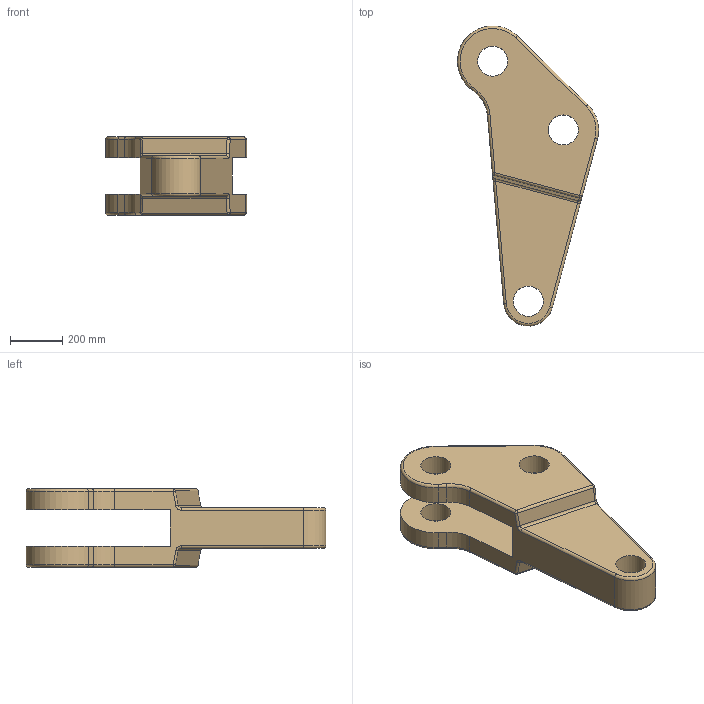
import cadquery as cq
import math

total_height = 300.0
tongue_height = 156.0
slot_height = 141.0

pin_diameter = 115.0
tongue_pin = (0.0, 0.0)
corner_pin = (134.03, 656.0)
arm_pin = (-137.0, 919.54)

tongue_end_radius = 95.0
cheek_end_radius = 135.0

neck_slope = 40.0
neck_radius = 120.0
left_side_tilt = 4.95

step_distance = 433.5

slot_end_distance = 464.0

step_draft = 10.0
edge_radius = 10.0

reach = 2000.0


def polar(center, radius, degrees):
    """Point on a circle at the given angle from +X."""
    angle = math.radians(degrees)
    return (center[0] + radius * math.cos(angle), center[1] + radius * math.sin(angle))


def direction_of(start, end):
    """Angle in degrees of the line from start to end."""
    return math.degrees(math.atan2(end[1] - start[1], end[0] - start[0]))


def line_crossing(point_a, degrees_a, point_b, degrees_b):
    """Point where two lines, each given by a point and an angle, cross."""
    gap_x = point_b[0] - point_a[0]
    gap_y = point_b[1] - point_a[1]
    angle_a = math.radians(degrees_a)
    angle_b = math.radians(degrees_b)
    along_a = (gap_x * math.sin(angle_b) - gap_y * math.cos(angle_b)) / math.sin(angle_b - angle_a)
    return polar(point_a, along_a, degrees_a)


pin_spacing = math.dist(tongue_pin, corner_pin)
end_taper = math.degrees(math.asin((cheek_end_radius - tongue_end_radius) / pin_spacing))
corner_pin_direction = direction_of(tongue_pin, corner_pin)
right_side_direction = corner_pin_direction - end_taper
right_normal = right_side_direction - 90.0


def outline():
    """Closed plan outline, counterclockwise from the tongue end."""
    upper_normal = direction_of(corner_pin, arm_pin) - 90.0
    neck_normal = 270.0 - neck_slope
    left_normal = 180.0 + left_side_tilt

    arm_end = polar(arm_pin, cheek_end_radius, neck_normal)
    tongue_left = polar(tongue_pin, tongue_end_radius, left_normal)
    neck_direction = neck_normal + 90.0
    left_direction = left_normal + 90.0
    neck_corner = line_crossing(arm_end, neck_direction, tongue_left, left_direction)
    neck_turn = math.radians(neck_normal - left_normal)
    neck_setback = neck_radius * math.tan(neck_turn / 2)
    neck_start = polar(neck_corner, -neck_setback, neck_direction)
    neck_end = polar(neck_corner, neck_setback, left_direction)
    neck_center = polar(neck_start, neck_radius, neck_normal)
    neck_middle = polar(neck_center, -neck_radius, (neck_normal + left_normal) / 2)

    return (
        cq.Workplane("XY")
        .workplane(offset=-total_height / 2)
        .moveTo(*polar(tongue_pin, tongue_end_radius, right_normal))
        .lineTo(*polar(corner_pin, cheek_end_radius, right_normal))
        .threePointArc(
            polar(corner_pin, cheek_end_radius, (right_normal + upper_normal) / 2),
            polar(corner_pin, cheek_end_radius, upper_normal),
        )
        .lineTo(*polar(arm_pin, cheek_end_radius, upper_normal))
        .threePointArc(polar(arm_pin, cheek_end_radius, (upper_normal + neck_normal) / 2), arm_end)
        .lineTo(*neck_start)
        .threePointArc(neck_middle, neck_end)
        .lineTo(*tongue_left)
        .threePointArc(
            polar(tongue_pin, tongue_end_radius, (left_normal + right_normal + 360.0) / 2),
            polar(tongue_pin, tongue_end_radius, right_normal),
        )
        .close()
    )


def side_plane(degrees):
    """Upright plane through the tongue pin: x axis at the given plan angle, y axis along Z."""
    along = polar((0.0, 0.0), 1.0, degrees)
    normal = polar((0.0, 0.0), 1.0, degrees - 90.0)
    return cq.Plane(origin=(*tongue_pin, 0), xDir=(*along, 0), normal=(*normal, 0))


def step_cutter(side):
    """Space above (side 1) or below (side -1) the tongue, with a leaning wall."""
    rise = total_height / 2 - tongue_height / 2
    foot = step_distance - rise * math.tan(math.radians(step_draft))
    return (
        cq.Workplane(side_plane(right_side_direction))
        .polyline(
            [
                (-reach, side * tongue_height / 2),
                (foot, side * tongue_height / 2),
                (step_distance, side * total_height / 2),
                (-reach, side * total_height / 2),
            ]
        )
        .close()
        .extrude(reach / 2, both=True)
    )


def slot_cutter():
    """Open slot between the two cheeks, its end square to the line from tongue pin to corner pin."""
    return (
        cq.Workplane(side_plane(corner_pin_direction))
        .center(slot_end_distance + reach / 2, 0)
        .rect(reach, slot_height)
        .extrude(reach / 2, both=True)
    )


def pin_holes():
    """Through holes for the three pins."""
    return (
        cq.Workplane("XY")
        .workplane(offset=-total_height / 2)
        .pushPoints([tongue_pin, corner_pin, arm_pin])
        .circle(pin_diameter / 2)
        .extrude(total_height)
    )


body = outline().extrude(total_height)
for side in (1, -1):
    body = body.cut(step_cutter(side))
body = body.edges("not |Z").fillet(edge_radius)
result = body.cut(slot_cutter()).cut(pin_holes())